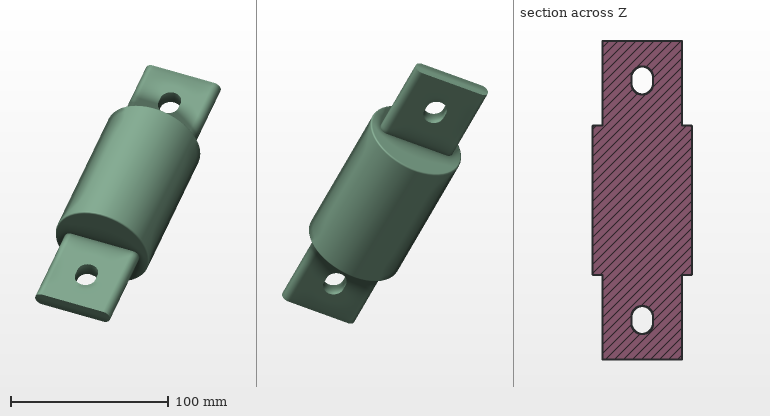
import cadquery as cq

overall_length = 203.2
body_diameter = 63.5
body_length = 95.25
rim_radius = 1.0

blade_width = 50.8
blade_thickness = 9.525

slot_width = 13.5
slot_length = 17.5
slot_spacing = 152.4


def make_body():
    """Cylindrical barrel centred on the origin, with rounded end rims."""
    end_plane = cq.Workplane("XZ", origin=(0, body_length / 2, 0))
    barrel = end_plane.circle(body_diameter / 2).extrude(body_length)
    return barrel.faces("<Y or >Y").fillet(rim_radius)


def make_blade():
    """Blade running the full length, projecting from both ends of the barrel."""
    end_plane = cq.Workplane("XZ", origin=(0, overall_length / 2, 0))
    return end_plane.slot2D(blade_width, blade_thickness).extrude(overall_length)


def make_bolt_slots():
    """Cutters for the bolt slot through each projecting blade end."""
    centres = [(0, -slot_spacing / 2), (0, slot_spacing / 2)]
    slots = cq.Workplane("XY").pushPoints(centres).slot2D(slot_length, slot_width, 90)
    return slots.extrude(blade_thickness, both=True)


result = make_body().union(make_blade()).cut(make_bolt_slots())